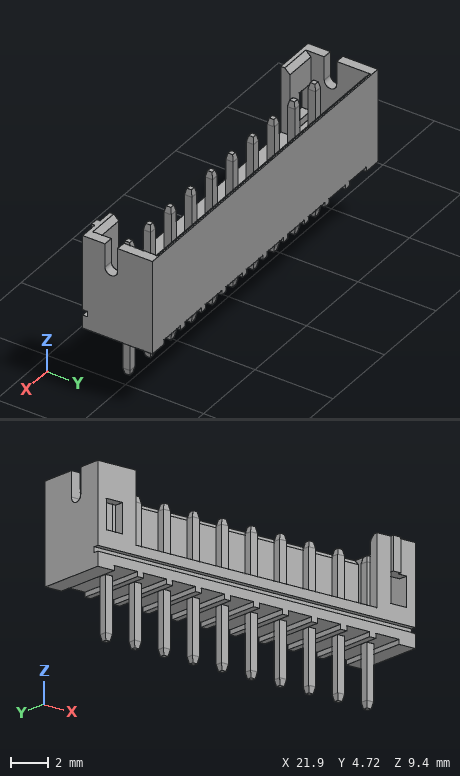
import cadquery as cq

length = 21.9
depth = 4.5
height = 6.0
front_y = -depth / 2
back_y = depth / 2

end_wall = 0.61
back_wall = 0.42
front_wall = 0.6
floor_z = 1.75
lead_in = 0.33

tab_length = 2.65
window_width = 1.1
window_bottom = 2.2
window_top = 3.96
window_end_offset = 0.61
key_width = 0.53
key_projection = 0.22

slot_width = 0.79
slot_bottom = 4.1
slot_setback = 2.65
slot_y = back_y - slot_setback

groove_bottom = 0.85
groove_top = 1.18
groove_depth = 0.3

foot_height = 0.28
end_foot = 1.14
foot_width = 0.42

pin_count = 10
pin_span = 18.0
pitch = pin_span / (pin_count - 1)
pin_size = 0.48
pin_tip_size = 0.3
pin_taper = 0.4
pin_top = 5.21
pin_bottom = -3.4
pin_setback = 1.69
pin_y = front_y + pin_setback


def box(x0, x1, y0, y1, z0, z1):
    """Axis-aligned block between two opposite corners."""
    return cq.Workplane("XY").box(x1 - x0, y1 - y0, z1 - z0, centered=False).translate((x0, y0, z0))


def cavity():
    """Cavity whose long walls flare outwards at the rim."""
    inner_front = front_y + front_wall
    inner_back = back_y - back_wall
    lead_in_z = height - lead_in
    profile = [
        (inner_front, floor_z),
        (inner_back, floor_z),
        (inner_back, lead_in_z),
        (inner_back + lead_in, height),
        (inner_front - lead_in, height),
        (inner_front, lead_in_z),
    ]
    inner_length = length - 2 * end_wall
    return cq.Workplane("YZ").polyline(profile).close().extrude(inner_length / 2, both=True)


def front_opening():
    """Gap in the front wall between the two end tabs."""
    half = length / 2 - tab_length
    return box(-half, half, front_y, front_y + front_wall, floor_z, height)


def tab_windows():
    """Rectangular windows through both front tabs."""
    outer = length / 2 - window_end_offset
    inner = outer - window_width
    y0, y1 = front_y, front_y + front_wall
    right = box(inner, outer, y0, y1, window_bottom, window_top)
    left = box(-outer, -inner, y0, y1, window_bottom, window_top)
    return right.union(left)


def end_slots():
    """Round-bottomed slot running through both end walls."""
    radius = slot_width / 2
    centre_z = slot_bottom + radius
    return (
        cq.Workplane("YZ")
        .moveTo(slot_y - radius, height)
        .lineTo(slot_y - radius, centre_z)
        .threePointArc((slot_y, slot_bottom), (slot_y + radius, centre_z))
        .lineTo(slot_y + radius, height)
        .close()
        .extrude(length / 2, both=True)
    )


def front_groove():
    return box(-length / 2, length / 2, front_y, front_y + groove_depth, groove_bottom, groove_top)


def underside_relief():
    """Shallow recess under the body, interrupted by a foot between each pair of pins."""
    half = length / 2 - end_foot
    relief = box(-half, half, front_y, back_y, 0, foot_height)
    for i in range(pin_count - 1):
        x = (i - (pin_count - 2) / 2) * pitch
        relief = relief.cut(box(x - foot_width / 2, x + foot_width / 2, front_y, back_y, 0, foot_height))
    return relief


def key_rib():
    """Polarising rib on the right tab, from the window up to the rim."""
    x0 = length / 2 - window_end_offset - window_width
    y_overlap = front_y + front_wall - lead_in
    return box(x0, x0 + key_width, front_y - key_projection, y_overlap, window_top, height)


def pin(x):
    """Square pin with a tapered tip at both ends."""
    shank_bottom = pin_bottom + pin_taper
    shank_top = pin_top - pin_taper
    half = pin_size / 2
    shank = box(x - half, x + half, pin_y - half, pin_y + half, shank_bottom, shank_top)
    for shank_end, tip_offset in ((shank_top, pin_taper), (shank_bottom, -pin_taper)):
        tip = (
            cq.Workplane("XY", origin=(x, pin_y, shank_end))
            .rect(pin_size, pin_size)
            .workplane(offset=tip_offset)
            .rect(pin_tip_size, pin_tip_size)
            .loft(ruled=True)
        )
        shank = shank.union(tip)
    return shank


result = box(-length / 2, length / 2, front_y, back_y, 0, height)
for cutter in (cavity(), front_opening(), tab_windows(), end_slots(), front_groove(), underside_relief()):
    result = result.cut(cutter)
result = result.union(key_rib())
for index in range(pin_count):
    result = result.union(pin((index - (pin_count - 1) / 2) * pitch))